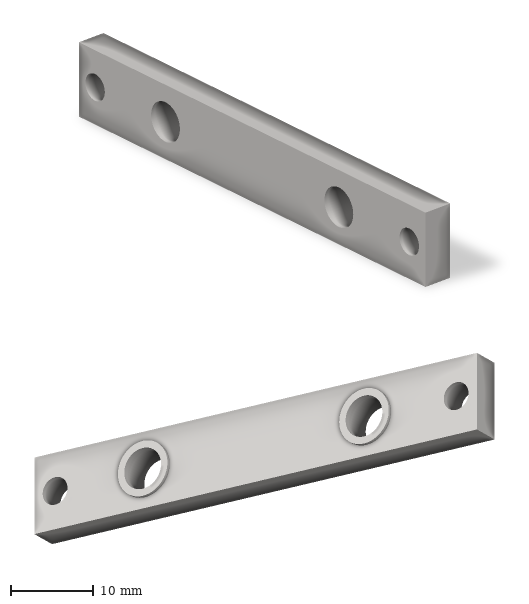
import cadquery as cq

length = 64.0
height = 10.0
plate_thickness = 4.0
total_depth = 4.5
boss_height = total_depth - plate_thickness

end_hole_diameter = 3.6
end_hole_spacing = 58.0
main_hole_diameter = 5.3
main_hole_spacing = length / 2
boss_diameter = 7.2


def cylinder_pair(spacing, diameter, start_y, depth):
    """Two cylinders along +Y, placed symmetrically about the plate centre."""
    return (
        cq.Workplane("XZ", origin=(0, start_y, 0))
        .pushPoints([(-spacing / 2, 0), (spacing / 2, 0)])
        .circle(diameter / 2)
        .extrude(-depth)
    )


plate = cq.Workplane("XY").box(length, plate_thickness, height, centered=(True, False, True))

bosses = cylinder_pair(main_hole_spacing, boss_diameter, plate_thickness, boss_height)

main_holes = cylinder_pair(main_hole_spacing, main_hole_diameter, 0, total_depth)
end_holes = cylinder_pair(end_hole_spacing, end_hole_diameter, 0, total_depth)

result = plate.union(bosses).cut(main_holes).cut(end_holes)